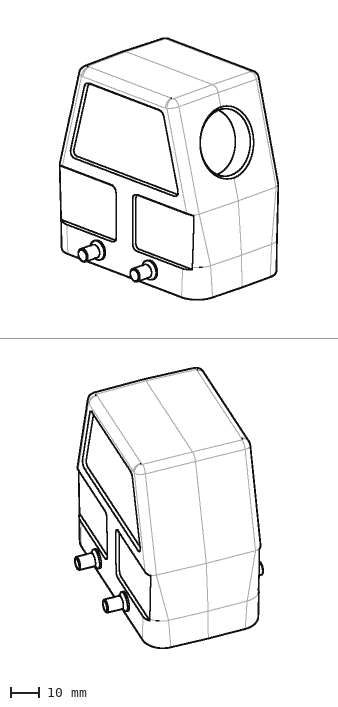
import cadquery as cq
import math

length = 73.05
height = 72.25
pin_span = 58.75

half_width_rim = 21.55
half_width_roof = 21.8

band_top = 12.5
shoulder = 32.4
half_length_band = 36.4
half_length_shoulder = 34.7
end_wall_lean = 15.0

end_peak = 0.4
roof_peak = 0.3

corner_rim = 7.75
corner_band = 6.95
corner_upper = 3.1
roof_fillet = 2.9
rim_fillet = 0.6

band_slope = (length / 2 - half_length_band) / band_top
half_length_rim = length / 2 + rim_fillet * band_slope

recess_floor = 20.45
recess_corner = 1.7
recess_flare = 20.0
cutter_height = 3.65
grip_inner = 4.6
grip_bottom = 11.6
grip_top = 31.9
window_bottom = 37.6
window_top = 66.85
window_half_bottom = 27.1
window_half_top = 19.15

pin_x = 13.1
pin_z = 6.2
pin_diameter = 4.8
collar_diameter = 7.0
collar_reach = 0.65
tip_chamfer = 0.4

entry_diameter = 23.5
entry_chamfer = 1.0
entry_depth = 8.8
entry_z = 52.6


def half_width_at(z):
    return half_width_rim + (half_width_roof - half_width_rim) * z / height


def upper_half_length_at(z):
    return half_length_shoulder - (z - shoulder) * math.tan(math.radians(end_wall_lean))


def section(z, half_length, corner):
    """Rounded horizontal section of the hood, peaked at the middle of each end."""
    x_peak = half_length
    x_corner = half_length - end_peak
    y = half_width_at(z)
    outline = [
        (x_peak, 0),
        (x_corner, y),
        (-x_corner, y),
        (-x_peak, 0),
        (-x_corner, -y),
        (x_corner, -y),
        (x_peak, 0),
    ]
    sketch = cq.Sketch().polygon(outline).vertices(">Y or <Y").fillet(corner)
    return sketch.moved(cq.Location(cq.Vector(0, 0, z)))


def hood_body():
    sections = [
        section(0, half_length_rim, corner_rim),
        section(band_top, half_length_band, corner_band),
        section(shoulder, half_length_shoulder, corner_upper),
        section(height, upper_half_length_at(height), corner_upper),
    ]
    body = cq.Workplane("XY").placeSketch(*sections).loft(ruled=True)
    eave = height - roof_peak
    gable = [
        (-half_width_roof, 0),
        (half_width_roof, 0),
        (half_width_roof, eave),
        (0, height),
        (-half_width_roof, eave),
    ]
    envelope = cq.Workplane("YZ").polyline(gable).close().extrude(length / 2, both=True)
    body = body.intersect(envelope)
    body = body.faces(">Z").edges("not >Z").fillet(roof_fillet)
    return body.faces("<Z").edges().fillet(rim_fillet)


def recess_cutter(floor_outline):
    """Front-wall recess: rounded floor outline, walls flaring outwards."""
    floor = cq.Sketch().polygon(floor_outline + floor_outline[:1]).vertices().fillet(recess_corner)
    plane = cq.Workplane("XZ", origin=(0, -recess_floor, 0))
    return plane.placeSketch(floor).extrude(cutter_height, taper=-recess_flare)


def both_walls(front):
    """The front-wall shape together with its mirror image on the back wall."""
    return front.union(front.mirror("XZ"))


def recesses():
    window = recess_cutter([
        (-window_half_bottom, window_bottom),
        (window_half_bottom, window_bottom),
        (window_half_top, window_top),
        (-window_half_top, window_top),
    ])
    right_grip = recess_cutter([
        (grip_inner, grip_bottom),
        (length, grip_bottom),
        (length, grip_top),
        (grip_inner, grip_top),
    ])
    front = window.union(right_grip).union(right_grip.mirror("YZ"))
    return both_walls(front)


def pins():
    """Four collared pins, each rooted inside the wall at the recess floor level."""
    wall = half_width_at(pin_z)
    tip = pin_span / 2
    r_pin = pin_diameter / 2
    r_collar = collar_diameter / 2
    collar_end = wall + collar_reach
    cone_end = collar_end + r_collar - r_pin
    profile = [
        (0, -recess_floor),
        (r_collar, -recess_floor),
        (r_collar, -collar_end),
        (r_pin, -cone_end),
        (r_pin, -tip + tip_chamfer),
        (r_pin - tip_chamfer, -tip),
        (0, -tip),
    ]
    pin = cq.Workplane("XY").polyline(profile).close().revolve(360, (0, 0), (0, 1))
    right = pin.translate((pin_x, 0, pin_z))
    return both_walls(right.union(right.mirror("YZ")))


def cable_entry():
    """Blind bore with a chamfered mouth."""
    lean = math.radians(end_wall_lean)
    face_plane = cq.Plane(
        origin=(upper_half_length_at(entry_z), 0, entry_z),
        xDir=(0, 1, 0),
        normal=(math.cos(lean), 0, math.sin(lean)),
    )
    r_bore = entry_diameter / 2
    r_mouth = r_bore + entry_chamfer
    profile = [
        (0, -entry_depth),
        (r_bore, -entry_depth),
        (r_bore, -entry_chamfer),
        (r_mouth, 0),
        (r_mouth, entry_chamfer),
        (0, entry_chamfer),
    ]
    cutter = cq.Workplane("XZ").polyline(profile).close().revolve(360, (0, 0), (0, 1))
    return cq.Workplane(cutter.val().moved(cq.Location(face_plane)))


result = hood_body().cut(recesses()).cut(cable_entry()).union(pins())